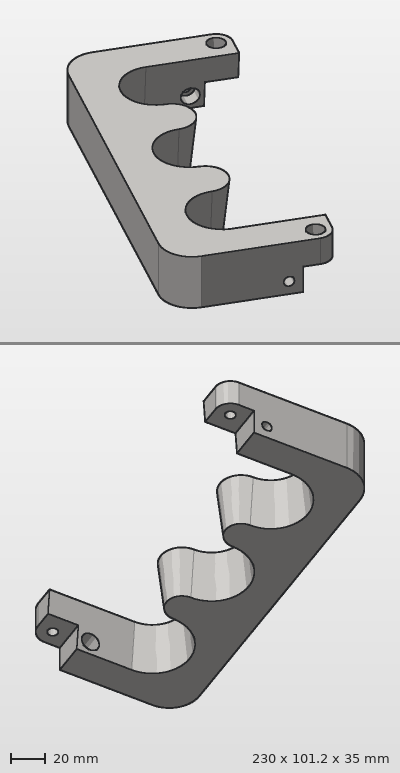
import cadquery as cq
import math

length = 230.0
depth = 101.2
height = 35.0
front_corner_radius = 20.0
rear_corner_radius = 10.0

arm_width = 24.0
opening_half_width = length / 2 - arm_width
finger_radius = 14.0
scallop_count = 3
scallop_radius = (opening_half_width - (scallop_count - 1) * finger_radius) / scallop_count
scallop_centre_y = 45.0
draft_angle = 6.0
rear_overrun = 23.0

step_length = 20.0
step_height = 17.2

hole_diameter = 6.5
counterbore_diameter = 11.5
counterbore_depth = 10.0
arm_hole_x = length / 2 - rear_corner_radius
arm_hole_y = depth - rear_corner_radius
side_hole_y = depth - 28.5
side_hole_z = 8.7


def make_body():
    block = cq.Workplane("XY").box(length, depth, height, centered=(True, False, False))
    block = block.edges("|Z and <Y").fillet(front_corner_radius)
    return block.edges("|Z and >Y").fillet(rear_corner_radius)


def make_opening():
    """Drafted opening with concave scallops separated by rounded fingers."""
    rear_y = depth + rear_overrun
    x = -opening_half_width
    profile = cq.Workplane(cq.Plane((0, 0, height), xDir=(1, 0, 0), normal=(0, 0, -1)))
    profile = profile.moveTo(x, -rear_y).lineTo(x, -scallop_centre_y)
    for index in range(scallop_count):
        middle = (x + scallop_radius, -(scallop_centre_y - scallop_radius))
        x += 2 * scallop_radius
        profile = profile.threePointArc(middle, (x, -scallop_centre_y))
        if index < scallop_count - 1:
            middle = (x + finger_radius, -(scallop_centre_y + finger_radius))
            x += 2 * finger_radius
            profile = profile.threePointArc(middle, (x, -scallop_centre_y))
    return profile.lineTo(x, -rear_y).close().extrude(height, taper=-draft_angle)


def make_step():
    step = cq.Workplane("XY").box(length, step_length, step_height, centered=(True, False, False))
    return step.translate((0, depth - step_length, 0))


def make_arm_hole(side):
    """Vertical hole through an arm end, counterbored from the top."""
    top = cq.Workplane("XY", origin=(side * arm_hole_x, arm_hole_y, height))
    bore = top.circle(hole_diameter / 2).extrude(-height)
    return bore.union(top.circle(counterbore_diameter / 2).extrude(-counterbore_depth))


def make_side_holes():
    """Crosswise hole through both arms, counterbored from their inner faces."""
    across = cq.Workplane("YZ", origin=(0, side_hole_y, side_hole_z))
    bore = across.circle(hole_diameter / 2).extrude(length / 2, both=True)
    inner_face_x = opening_half_width + (height - side_hole_z) * math.tan(math.radians(draft_angle))
    counterbore_half_span = inner_face_x + counterbore_depth
    return bore.union(across.circle(counterbore_diameter / 2).extrude(counterbore_half_span, both=True))


result = make_body().cut(make_opening()).cut(make_step()).cut(make_side_holes())
for side in (-1, 1):
    result = result.cut(make_arm_hole(side))